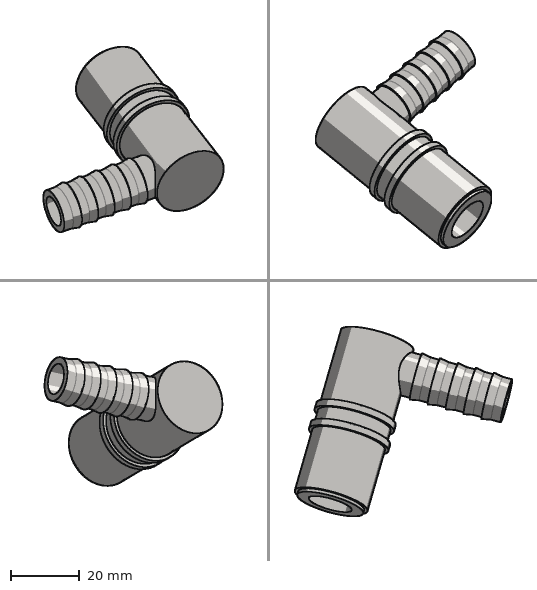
import cadquery as cq

housing_length = 51.0
housing_diameter = 22.0
lip_diameter = 20.0
lip_length = 1.0

band_diameter = 24.0
band_width = 2.0
first_band_x = 20.0
band_pitch = 6.05
band_count = 2

overall_y = 53.0
tail_end_y = band_diameter / 2 - overall_y
tail_diameter = 13.0
tail_axis_x = 43.5
rib_diameter = 14.0
rib_length = 2.7
rib_pitch = 2 * rib_length
rib_count = 5
first_rib_y = -13.8

socket_diameter = tail_diameter
socket_depth = first_band_x
bore_diameter = 9.0


def x_cylinder(start_x, length, diameter):
    """Solid cylinder on the housing axis."""
    return cq.Workplane("YZ", origin=(start_x, 0, 0)).circle(diameter / 2).extrude(length)


def make_rib(start_y):
    """Tapered hose rib: widest at start_y, narrowing to the pipe toward the tail end."""
    outline = (
        cq.Workplane("XY", origin=(tail_axis_x, start_y, 0))
        .lineTo(rib_diameter / 2, 0)
        .lineTo(tail_diameter / 2, -rib_length)
        .lineTo(0, -rib_length)
        .close()
    )
    return outline.revolve(360, (0, 0, 0), (0, 1, 0))


def make_tail():
    """Plain pipe from the housing axis to the tail end, with its row of ribs."""
    tail = (
        cq.Workplane("XZ", origin=(tail_axis_x, 0, 0))
        .circle(tail_diameter / 2)
        .extrude(-tail_end_y)
    )
    for index in range(rib_count):
        tail = tail.union(make_rib(first_rib_y - index * rib_pitch))
    return tail


def make_elbow_bore():
    """Round bore from the socket to the tail end, turning through a mitred corner."""
    path = (
        cq.Workplane("XY")
        .moveTo(socket_depth, 0)
        .lineTo(tail_axis_x, 0)
        .lineTo(tail_axis_x, tail_end_y)
    )
    section = cq.Workplane("YZ", origin=(socket_depth, 0, 0)).circle(bore_diameter / 2)
    return section.sweep(path, transition="right")


def make_housing():
    """Housing, lip and hose tail in one piece, with the passage cut through."""
    lip = x_cylinder(0, lip_length, lip_diameter)
    barrel = x_cylinder(lip_length, housing_length - lip_length, housing_diameter)
    socket = x_cylinder(0, socket_depth, socket_diameter)
    return barrel.union(lip).union(make_tail()).cut(socket).cut(make_elbow_bore())


def make_band(start_x):
    """Flat band that fits closely around the housing."""
    band = x_cylinder(start_x, band_width, band_diameter)
    return band.cut(x_cylinder(start_x, band_width, housing_diameter))


housing = make_housing()
bands = [make_band(first_band_x + index * band_pitch) for index in range(band_count)]

band_solids = [band.solids().val() for band in bands]
result = cq.Compound.makeCompound([housing.solids().val(), *band_solids])